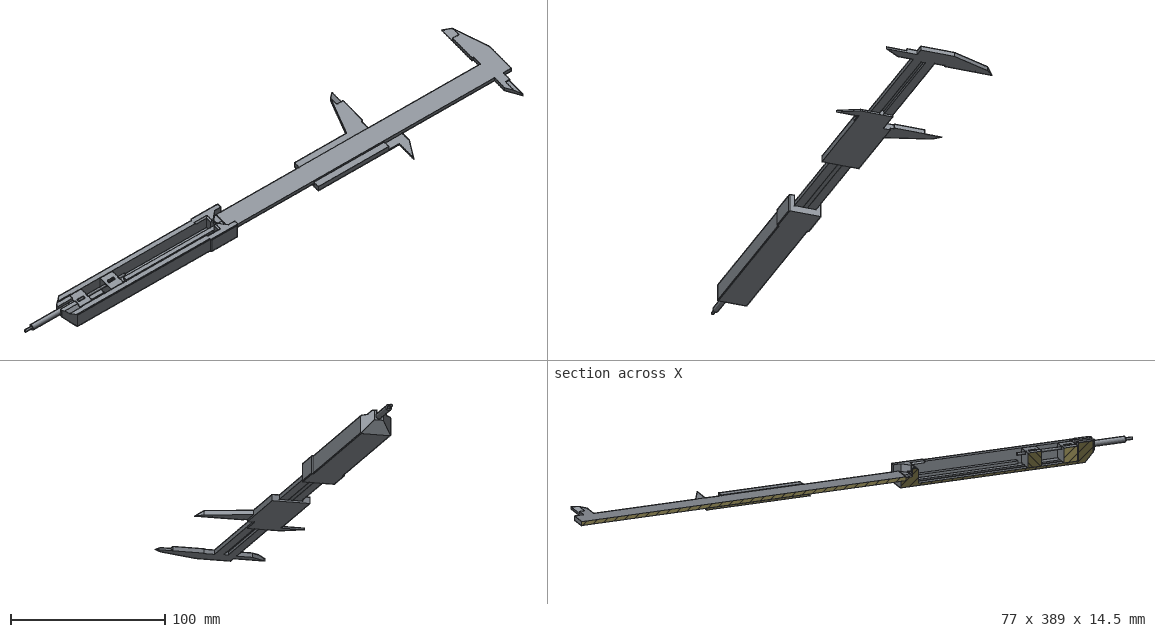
import cadquery as cq


BEAM_HALF_WIDTH = 7.5
BEAM_BOTTOM = 4.5
BEAM_THICKNESS = 3.0
BEAM_TOP = BEAM_BOTTOM + BEAM_THICKNESS
BEAM_LENGTH = 228.3
OPENING = 88.8

OUTER_TIP_X = -48.0
OUTER_FACE_Y = -15.0
JAW_RELIEF = 1.1
JAW_RELIEF_X = -14.8
OUTER_BEVEL_X = -36.0
OUTER_BEVEL_WIDTH = 5.2
TIP_SLOPE_SIZE = 5.0
HEAD_SHOULDER_X = -15.9

INNER_TIP_X = 29.0
INNER_FACE_Y = -6.5
INNER_ROOT_WIDTH = 7.1
INNER_BEVEL_X = 14.5
INNER_BEVEL_WIDTH = 3.5
INNER_BEVEL_DEPTH = BEAM_THICKNESS / 2
FIXED_INNER_SHOULDER_X = 18.2

SLIDER_LEFT = -12.4
SLIDER_RIGHT = 13.3
SLIDER_END_Y = -161.0
SLIDER_JAW_ROOT_Y = -118.7
SLIDER_PLATE_THICKNESS = 1.25
SLIDER_PLATE_BOTTOM = BEAM_BOTTOM - SLIDER_PLATE_THICKNESS
SPRING_GAP = 1.0
SLIDING_INNER_SHOULDER_X = 14.8
ROD_WIDTH = 3.0
ROD_THICKNESS = 2.0
ROD_END_Y = -308.0

HANDLE_HEIGHT = 12.25
HANDLE_HALF_WIDTH = 10.25
HANDLE_HEAD_HALF_WIDTH = 11.25
HANDLE_START_Y = -224.4
HANDLE_HEAD_END_Y = -246.4
HEAD_STEP_LENGTH = 0.6
HEAD_CORNER_X = 0.7
HEAD_CORNER_Y = 1.0
HANDLE_EDGE_CHAMFER = 0.5
NOSE_TAPER = 7.25
NOSE_RISE = 8.0
NOSE_END_Y = -361.25

TROUGH_HALF_WIDTH = 6.2
TROUGH_START_Y = -237.0
TROUGH_END_Y = -349.3
TROUGH_FLOOR = 2.0
TROUGH_RIM = 1.1
GROOVE_WIDTH = 3.5
GROOVE_DEPTH = 1.0

BEAM_STOP_Y = -229.5
SOCKET_SILL_Y = -232.8
ROD_TUNNEL_ROOF = 0.5
SOCKET_FLOOR = BEAM_BOTTOM + ROD_THICKNESS + ROD_TUNNEL_ROOF
SOCKET_SILL_HEIGHT = 1.0
SOCKET_MOUTH_HALF_WIDTH = 2.5

RIDGE_HEIGHT = 2.25
RIDGE_TOP_HALF_WIDTH = 4.3
RIDGE_START_Y = -347.3
RIDGE_SLOT_WIDTH = 2.8
RIDGE_TOP = HANDLE_HEIGHT + RIDGE_HEIGHT

FILAMENT_DIAMETER = 1.75
FILAMENT_END_Y = -389.0
FILAMENT_Z = 10.75
TUBE_DIAMETER = 4.0
TUBE_BORE = 2.0
TUBE_END_Y = -383.7
BLOCK_HALF_WIDTH = 5.9
BLOCK_LENGTH = 10.0
BLOCK_TOP = HANDLE_HEIGHT
FRONT_BLOCK_Y = -313.6
REAR_BLOCK_Y = -339.0
WINDOW_WIDTH = 1.9
WINDOW_LENGTH = 5.0
WINDOW_OFFSET = 0.6


def box(x0, x1, y0, y1, z0, z1):
    """Box between two opposite corners."""
    size = (x1 - x0, y1 - y0, z1 - z0)
    return cq.Workplane("XY").box(*size, centered=False).translate((x0, y0, z0))


def plate(points, bottom, top):
    """Flat plate with a polygonal outline."""
    return cq.Workplane("XY").workplane(offset=bottom).polyline(points).close().extrude(top - bottom)


def cylinder_along_y(diameter, y0, y1):
    """Cylinder on the filament axis from y0 back to y1."""
    plane = cq.Workplane("XZ", origin=(0, y0, FILAMENT_Z))
    return plane.circle(diameter / 2).extrude(y0 - y1)


def bevel_cutter(x0, x1, yz_points):
    """Triangular prism along X from x0 to x1, used to cut or bevel an end."""
    return cq.Workplane("YZ", origin=(x0, 0, 0)).polyline(yz_points).close().extrude(x1 - x0)


def outer_bevel_cutter(face_y, back_y):
    """Full-thickness bevel at the tip of an outer jaw."""
    points = [(back_y, BEAM_TOP), (face_y, BEAM_TOP), (face_y, BEAM_BOTTOM)]
    return bevel_cutter(OUTER_TIP_X, OUTER_BEVEL_X, points)


def inner_bevel_cutter(face_y, back_y):
    """Half-thickness bevel on the top of an inner jaw's tip."""
    points = [(back_y, BEAM_TOP), (face_y, BEAM_TOP), (face_y, BEAM_TOP - INNER_BEVEL_DEPTH)]
    return bevel_cutter(INNER_BEVEL_X, INNER_TIP_X, points)


def rod_channel(width, start_y, end_y):
    """Box of the depth rod's height and the given width."""
    return box(-width / 2, width / 2, end_y, start_y, BEAM_BOTTOM, BEAM_BOTTOM + ROD_THICKNESS)


def make_beam():
    """Beam with the fixed outer and inner jaws."""
    relief_y = OUTER_FACE_Y + JAW_RELIEF
    outline = [
        (BEAM_HALF_WIDTH, 0),
        (HEAD_SHOULDER_X, 0),
        (OUTER_TIP_X + TIP_SLOPE_SIZE, OUTER_FACE_Y + TIP_SLOPE_SIZE),
        (OUTER_TIP_X, OUTER_FACE_Y),
        (JAW_RELIEF_X, OUTER_FACE_Y),
        (JAW_RELIEF_X, relief_y),
        (-BEAM_HALF_WIDTH, relief_y),
        (-BEAM_HALF_WIDTH, -BEAM_LENGTH),
        (BEAM_HALF_WIDTH, -BEAM_LENGTH),
        (BEAM_HALF_WIDTH, INNER_FACE_Y - INNER_ROOT_WIDTH),
        (FIXED_INNER_SHOULDER_X, INNER_FACE_Y - INNER_ROOT_WIDTH),
        (INNER_TIP_X, INNER_FACE_Y),
        (BEAM_HALF_WIDTH, INNER_FACE_Y),
    ]
    body = plate(outline, BEAM_BOTTOM, BEAM_TOP)
    body = body.cut(outer_bevel_cutter(OUTER_FACE_Y, OUTER_FACE_Y + OUTER_BEVEL_WIDTH))
    body = body.cut(inner_bevel_cutter(INNER_FACE_Y, INNER_FACE_Y - INNER_BEVEL_WIDTH))
    return body.cut(rod_channel(ROD_WIDTH, OUTER_FACE_Y, -BEAM_LENGTH))


def make_slider():
    """Sliding jaws on a plate under the beam, with the depth rod."""
    outer_face_y = OUTER_FACE_Y - OPENING
    inner_face_y = INNER_FACE_Y - OPENING
    slider_top_y = inner_face_y + INNER_ROOT_WIDTH
    rail_left = BEAM_HALF_WIDTH + SPRING_GAP

    outer_jaw = plate(
        [
            (OUTER_TIP_X, outer_face_y),
            (JAW_RELIEF_X, outer_face_y),
            (JAW_RELIEF_X, outer_face_y - JAW_RELIEF),
            (-BEAM_HALF_WIDTH, outer_face_y - JAW_RELIEF),
            (-BEAM_HALF_WIDTH, SLIDER_END_Y),
            (SLIDER_LEFT, SLIDER_END_Y),
            (SLIDER_LEFT, SLIDER_JAW_ROOT_Y),
            (OUTER_TIP_X + TIP_SLOPE_SIZE, outer_face_y - TIP_SLOPE_SIZE),
        ],
        BEAM_BOTTOM,
        BEAM_TOP,
    )
    outer_jaw = outer_jaw.cut(outer_bevel_cutter(outer_face_y, outer_face_y - OUTER_BEVEL_WIDTH))

    right_rail = box(rail_left, SLIDER_RIGHT, SLIDER_END_Y, outer_face_y, BEAM_BOTTOM, BEAM_TOP)

    base = plate(
        [
            (-BEAM_HALF_WIDTH, slider_top_y),
            (SLIDING_INNER_SHOULDER_X, slider_top_y),
            (INNER_TIP_X, inner_face_y),
            (SLIDER_RIGHT, inner_face_y),
            (SLIDER_RIGHT, SLIDER_END_Y),
            (SLIDER_LEFT, SLIDER_END_Y),
            (SLIDER_LEFT, outer_face_y - JAW_RELIEF),
            (-BEAM_HALF_WIDTH, outer_face_y - JAW_RELIEF),
        ],
        SLIDER_PLATE_BOTTOM,
        BEAM_BOTTOM,
    )
    rod = rod_channel(ROD_WIDTH, slider_top_y, ROD_END_Y)
    return base.union(outer_jaw).union(right_rail).union(rod)


def handle_outline():
    """Corner points of the handle from above: wide head, narrower body and a nose tapered at 45 degrees."""
    nose_half_width = HANDLE_HALF_WIDTH - NOSE_TAPER
    right_side = [
        (HANDLE_HEAD_HALF_WIDTH - HEAD_CORNER_X, HANDLE_START_Y),
        (HANDLE_HEAD_HALF_WIDTH, HANDLE_START_Y - HEAD_CORNER_Y),
        (HANDLE_HEAD_HALF_WIDTH, HANDLE_HEAD_END_Y + HEAD_STEP_LENGTH),
        (HANDLE_HALF_WIDTH, HANDLE_HEAD_END_Y),
        (HANDLE_HALF_WIDTH, NOSE_END_Y + NOSE_TAPER),
        (nose_half_width, NOSE_END_Y),
    ]
    left_side = [(-x, y) for x, y in reversed(right_side)]
    return right_side + left_side


def make_handle():
    """Handle with beam socket, open trough, rod groove and tube ridge."""
    outline = handle_outline()
    body = plate(outline, 0, HANDLE_HEIGHT)
    body = body.faces("<Z or >Z").edges("|Y").chamfer(HANDLE_EDGE_CHAMFER)

    ridge_profile = [
        (-RIDGE_TOP_HALF_WIDTH - RIDGE_HEIGHT, HANDLE_HEIGHT),
        (RIDGE_TOP_HALF_WIDTH + RIDGE_HEIGHT, HANDLE_HEIGHT),
        (RIDGE_TOP_HALF_WIDTH, RIDGE_TOP),
        (-RIDGE_TOP_HALF_WIDTH, RIDGE_TOP),
    ]
    ridge = cq.Workplane("XZ", origin=(0, RIDGE_START_Y, 0)).polyline(ridge_profile).close()
    ridge = ridge.extrude(RIDGE_START_Y - NOSE_END_Y)
    front_wedge = [
        (RIDGE_START_Y, HANDLE_HEIGHT),
        (RIDGE_START_Y, RIDGE_TOP),
        (RIDGE_START_Y - RIDGE_HEIGHT, RIDGE_TOP),
    ]
    ridge = ridge.cut(bevel_cutter(-HANDLE_HALF_WIDTH, HANDLE_HALF_WIDTH, front_wedge))
    ridge = ridge.intersect(plate(outline, HANDLE_HEIGHT, RIDGE_TOP))
    body = body.union(ridge)

    nose_wedge = [(NOSE_END_Y + NOSE_TAPER, 0), (NOSE_END_Y, 0), (NOSE_END_Y, NOSE_RISE)]
    body = body.cut(bevel_cutter(-HANDLE_HALF_WIDTH, HANDLE_HALF_WIDTH, nose_wedge))

    for cutter in handle_cutters():
        body = body.cut(cutter)
    return body.cut(chamfered_trough_rim())


def handle_cutters():
    """Openings of the handle: beam socket, rod tunnel, trough, groove, tube hole and ridge slot."""
    tip_half_width = SOCKET_MOUTH_HALF_WIDTH
    sill_half_width = BEAM_HALF_WIDTH - (BEAM_STOP_Y - SOCKET_SILL_Y)
    tip_y = BEAM_STOP_Y - (BEAM_HALF_WIDTH - tip_half_width)

    socket = plate(
        [
            (-BEAM_HALF_WIDTH, HANDLE_START_Y),
            (BEAM_HALF_WIDTH, HANDLE_START_Y),
            (BEAM_HALF_WIDTH, BEAM_STOP_Y),
            (sill_half_width, SOCKET_SILL_Y),
            (-sill_half_width, SOCKET_SILL_Y),
            (-BEAM_HALF_WIDTH, BEAM_STOP_Y),
        ],
        SOCKET_FLOOR,
        RIDGE_TOP,
    )
    beam_slot = box(
        -BEAM_HALF_WIDTH, BEAM_HALF_WIDTH, -BEAM_LENGTH, HANDLE_START_Y, BEAM_BOTTOM, RIDGE_TOP
    )
    rod_tunnel = rod_channel(ROD_WIDTH, -BEAM_LENGTH, TROUGH_START_Y)
    socket_tip = plate(
        [
            (-sill_half_width, SOCKET_SILL_Y),
            (sill_half_width, SOCKET_SILL_Y),
            (tip_half_width, tip_y),
            (-tip_half_width, tip_y),
        ],
        SOCKET_FLOOR + SOCKET_SILL_HEIGHT,
        RIDGE_TOP,
    )
    trough = box(
        -TROUGH_HALF_WIDTH, TROUGH_HALF_WIDTH, TROUGH_END_Y, TROUGH_START_Y, TROUGH_FLOOR, RIDGE_TOP
    )
    half_groove = GROOVE_WIDTH / 2
    mouth = box(-half_groove, half_groove, TROUGH_START_Y, tip_y, BEAM_BOTTOM, RIDGE_TOP)
    groove_bottom = TROUGH_FLOOR - GROOVE_DEPTH
    groove = box(
        -half_groove, half_groove, TROUGH_END_Y, TROUGH_START_Y, groove_bottom, TROUGH_FLOOR
    )
    tube_hole = cylinder_along_y(TUBE_DIAMETER, TROUGH_END_Y, NOSE_END_Y)
    half_slot = RIDGE_SLOT_WIDTH / 2
    ridge_slot = box(-half_slot, half_slot, NOSE_END_Y, RIDGE_START_Y, FILAMENT_Z, RIDGE_TOP)
    return [socket, socket_tip, beam_slot, rod_tunnel, trough, mouth, groove, tube_hole, ridge_slot]


def chamfered_trough_rim():
    """Cutter for the 45-degree rim around the head end of the trough."""
    bottom_width = 2 * TROUGH_HALF_WIDTH
    end_y = HANDLE_HEAD_END_Y + TROUGH_RIM
    length = TROUGH_START_Y - end_y
    middle_y = (TROUGH_START_Y + end_y) / 2
    top = cq.Workplane("XY", origin=(0, middle_y, HANDLE_HEIGHT))
    top = top.rect(bottom_width + 2 * TROUGH_RIM, length + 2 * TROUGH_RIM)
    return top.workplane(offset=-TROUGH_RIM).rect(bottom_width, length).loft(ruled=True)


def make_filament():
    """Straight filament from the depth rod out through the tube."""
    return cylinder_along_y(FILAMENT_DIAMETER, ROD_END_Y, FILAMENT_END_Y)


def make_tube():
    """Guide tube held in the nose."""
    tube = cylinder_along_y(TUBE_DIAMETER, TROUGH_END_Y, TUBE_END_Y)
    return tube.cut(cylinder_along_y(TUBE_BORE, TROUGH_END_Y, TUBE_END_Y))


def make_block(start_y, window_x):
    """Clamp block around the filament, with a window down to it from the top."""
    end_y = start_y - BLOCK_LENGTH
    middle_y = (start_y + end_y) / 2
    block = box(-BLOCK_HALF_WIDTH, BLOCK_HALF_WIDTH, end_y, start_y, TROUGH_FLOOR, BLOCK_TOP)
    block = block.cut(cylinder_along_y(TUBE_BORE, start_y, end_y))
    window = box(
        window_x - WINDOW_WIDTH / 2,
        window_x + WINDOW_WIDTH / 2,
        middle_y - WINDOW_LENGTH / 2,
        middle_y + WINDOW_LENGTH / 2,
        FILAMENT_Z,
        BLOCK_TOP,
    )
    return block.cut(window)


beam = make_beam()
slider = make_slider()
handle = make_handle()
filament = make_filament()
tube = make_tube()
block_places = [(FRONT_BLOCK_Y, -WINDOW_OFFSET), (REAR_BLOCK_Y, WINDOW_OFFSET)]
blocks = [make_block(start_y, window_x) for start_y, window_x in block_places]

bodies = [beam, slider, handle, filament, tube, *blocks]
result = cq.Compound.makeCompound([body.solids().val() for body in bodies])